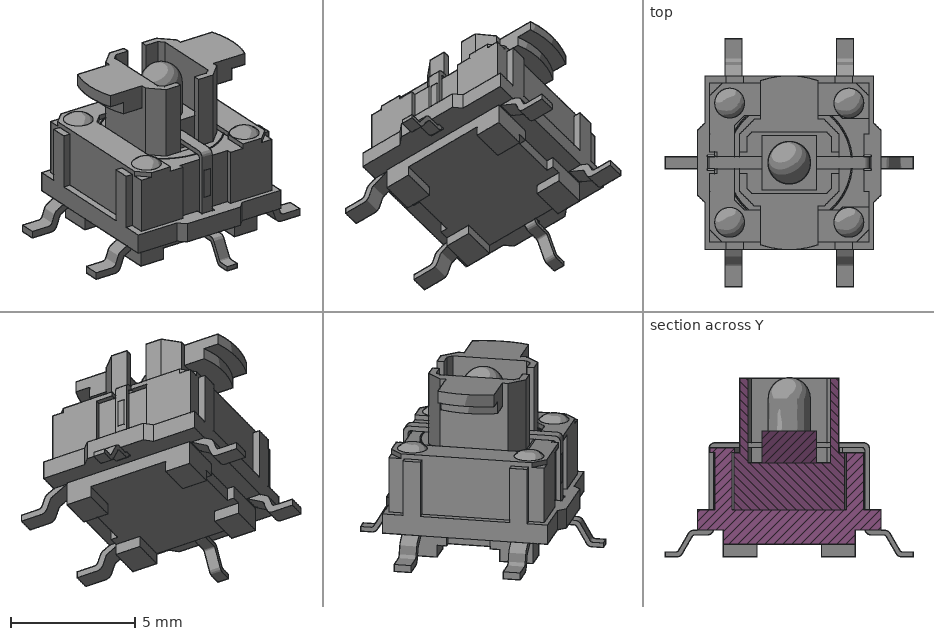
import cadquery as cq
import math

plate_bottom = 1.08
plate_top = 1.9
box_top = 4.2
lid_thickness = 0.2
lid_top = box_top + lid_thickness
plunger_top = 7.2
overall_height = 7.22

span = 10.0
plate_length_x = 6.8
plate_length_y = 7.0
ear_reach = 0.3
ear_half_width = 1.3
box_side = 6.4
lid_corner_chamfer = 0.5
side_recess_depth = 0.2
side_recess_width = 2.32
recess_wall = box_side / 2 - side_recess_depth

rib_width = 0.72
rib_spacing = 4.39
rivet_spacing = 4.8
rivet_radius = 0.6
rivet_flat_radius = 0.2
rivet_height = 0.2

bore_diameter = 5.1
opening_half_width = 1.9
opening_left = -2.2
opening_chamfer = 0.4
window_step_x = 2.03
window_step = 0.12
lid_notch_width = 0.88
lid_notch_depth = 0.29

base_length_x = 5.32
base_length_y = 5.7
base_clearance = 0.5
base_channel_x = 2.58
base_channel_y = 3.48
base_recess_width = 1.8
base_recess_depth = 0.3

terminal_width = 0.7
terminal_thickness = 0.3
terminal_spacing = 4.49
terminal_inner_radius = 0.17
terminal_outer_radius = 0.3
terminal_foot_bend_y = 3.98
terminal_knee_z = 0.75
terminal_lower_angle = math.radians(70)
terminal_upper_angle = math.radians(30)
terminal_root_z = 1.4

strap_width = 0.5
strap_thickness = 0.2
strap_inner_radius = 0.12
strap_outer_radius = 0.26
strap_outer_x = 3.24
strap_top = lid_top + strap_thickness
strap_foot_bend_x = 4.435
strap_leg_angle = math.radians(60)
strap_slot_width = 0.62
strap_slot_depth = 0.3
nub_width = 0.3
nub_bottom = 2.57
nub_top = 3.78

led_block_side = 2.2
led_block_top = 5.07
dome_radius = 0.85
dome_base_radius = 0.86
dome_center_z = overall_height - dome_radius

plunger_disc_diameter = 5.0
cap_length_x = 4.0
cap_length_y = 3.5
cap_chamfer = 0.6
cavity_floor = 3.8
cavity_length_x = 3.42
cavity_length_y = 2.46
cavity_chamfer = 0.2
fork_slot_width = 0.88
wing_width = 2.32
wing_thickness = 0.5
upper_wing_radius = 3.5
lower_wing_radius = 2.9


def block(x_min, x_max, y_min, y_max, z_min, z_max):
    """Axis-aligned block between the given limits."""
    return (
        cq.Workplane("XY")
        .box(x_max - x_min, y_max - y_min, z_max - z_min, centered=False)
        .translate((x_min, y_min, z_min))
    )


def centered_block(length_x, length_y, z_min, z_max):
    """Block centred on the Z axis."""
    return block(-length_x / 2, length_x / 2, -length_y / 2, length_y / 2, z_min, z_max)


def strip_side(path, offset, inner_radius, outer_radius):
    """One side of a bent strip: start, bends as (tangent in, arc middle, tangent out), end."""
    corners = [cq.Vector(*point) for point in path]
    directions = [(b - a).normalized() for a, b in zip(corners, corners[1:])]
    normals = [cq.Vector(-d.y, d.x) for d in directions]
    start = corners[0] + normals[0] * offset
    end = corners[-1] + normals[-1] * offset
    bends = []
    for i in range(1, len(path) - 1):
        before = directions[i - 1]
        after = directions[i]
        turn = math.atan2(before.cross(after).z, before.dot(after))
        radius = inner_radius if turn * offset > 0 else outer_radius
        half_turn = abs(turn) / 2
        tangent_length = radius * math.tan(half_turn)
        mitre = (normals[i - 1] + normals[i]).normalized() / math.cos(half_turn)
        side_corner = corners[i] + mitre * offset
        arc_depth = radius / math.cos(half_turn) - radius
        arc_middle = side_corner + (after - before).normalized() * arc_depth
        tangent_in = side_corner - before * tangent_length
        tangent_out = side_corner + after * tangent_length
        bends.append((tangent_in, arc_middle, tangent_out))
    return start, bends, end


def bent_strip(plane, path, thickness, width, inner_radius, outer_radius):
    """Sheet strip along a middle line, with round bends, extruded symmetrically about the plane."""
    outline = None
    for side_path in (path, path[::-1]):
        start, bends, end = strip_side(side_path, thickness / 2, inner_radius, outer_radius)
        if outline is None:
            outline = cq.Workplane(plane).moveTo(start.x, start.y)
        else:
            outline = outline.lineTo(start.x, start.y)
        for tangent_in, middle, tangent_out in bends:
            outline = outline.lineTo(tangent_in.x, tangent_in.y)
            outline = outline.threePointArc((middle.x, middle.y), (tangent_out.x, tangent_out.y))
        outline = outline.lineTo(end.x, end.y)
    return outline.close().extrude(width / 2, both=True)


def make_plate():
    """Base plate with a tapered ear on each X side."""
    ear_tip = plate_length_x / 2 + ear_reach
    ear_root_half_width = ear_half_width + ear_reach
    plate = centered_block(plate_length_x, plate_length_y, plate_bottom, plate_top)
    ears = (
        cq.Workplane("XY", origin=(0, 0, plate_bottom))
        .rect(2 * ear_tip, 2 * ear_root_half_width)
        .extrude(plate_top - plate_bottom)
        .edges("|Z")
        .chamfer(ear_reach)
    )
    return plate.union(ears)


def make_base():
    """Standing block under the plate: four feet with crossing channels between them."""
    base = centered_block(base_length_x, base_length_y, 0, plate_bottom)
    base = base.cut(centered_block(base_channel_x, base_length_y, 0, base_clearance))
    base = base.cut(centered_block(base_length_x, base_channel_y, 0, base_clearance))
    recess_bottom_y = base_length_y / 2 - base_recess_depth
    for side in (-1, 1):
        y_limits = sorted((side * recess_bottom_y, side * base_length_y / 2))
        half_width = base_recess_width / 2
        base = base.cut(block(-half_width, half_width, *y_limits, 0, plate_bottom))
    return base


def make_box():
    """Square box with ribs on the Y sides and shallow recesses on the X sides."""
    box = centered_block(box_side, box_side, plate_top, box_top)
    for side in (-1, 1):
        x_limits = sorted((side * recess_wall, side * box_side / 2))
        half_width = side_recess_width / 2
        box = box.cut(block(*x_limits, -half_width, half_width, plate_top, box_top))
    for x in (-rib_spacing / 2, rib_spacing / 2):
        rib = centered_block(rib_width, plate_length_y, plate_top, box_top)
        box = box.union(rib.translate((x, 0, 0)))
    bore = cq.Workplane("XY", origin=(0, 0, plate_top)).circle(bore_diameter / 2)
    return box.cut(bore.extrude(box_top - plate_top))


def make_lid():
    """Thin lid with a window over the plunger that runs out through the +X side."""
    lid = centered_block(box_side, box_side, box_top, lid_top)
    lid = lid.edges("|Z").chamfer(lid_corner_chamfer)
    half_window = [
        (opening_left, opening_half_width - opening_chamfer),
        (opening_left + opening_chamfer, opening_half_width),
        (window_step_x, opening_half_width),
        (window_step_x + window_step, opening_half_width - window_step),
        (box_side / 2, opening_half_width - window_step),
    ]
    other_half = [(x, -y) for x, y in reversed(half_window)]
    window = (
        cq.Workplane("XY", origin=(0, 0, box_top))
        .polyline(half_window + other_half)
        .close()
        .extrude(lid_thickness)
    )
    half_notch = lid_notch_width / 2
    notch_end = -box_side / 2 + lid_notch_depth
    notch = block(-box_side / 2, notch_end, -half_notch, half_notch, box_top, lid_top)
    return lid.cut(window).cut(notch)


def make_rivets():
    """Four low round heads with a flat top; the flank is an arc tangent to the flat."""
    run = rivet_radius - rivet_flat_radius
    arc_radius = (run**2 + rivet_height**2) / (2 * rivet_height)
    mid_angle = math.asin(run / arc_radius) / 2
    arc_middle = (
        rivet_flat_radius + arc_radius * math.sin(mid_angle),
        rivet_height - arc_radius * (1 - math.cos(mid_angle)),
    )
    head = (
        cq.Workplane("XZ")
        .lineTo(0, rivet_height)
        .lineTo(rivet_flat_radius, rivet_height)
        .threePointArc(arc_middle, (rivet_radius, 0))
        .close()
        .revolve(360, (0, 0), (0, 1))
    )
    offset = rivet_spacing / 2
    return [head.translate((x, y, lid_top)) for x in (-offset, offset) for y in (-offset, offset)]


def make_terminals():
    """Four gull-wing terminals rooted in the plate, two on each Y side."""
    foot_z = terminal_thickness / 2
    knee_y = terminal_foot_bend_y - (terminal_knee_z - foot_z) / math.tan(terminal_lower_angle)
    root_y = knee_y - (terminal_root_z - terminal_knee_z) / math.tan(terminal_upper_angle)
    path = [
        (span / 2, foot_z),
        (terminal_foot_bend_y, foot_z),
        (knee_y, terminal_knee_z),
        (root_y, terminal_root_z),
    ]
    terminal = bent_strip(
        "YZ", path, terminal_thickness, terminal_width, terminal_inner_radius, terminal_outer_radius
    )
    pair = [terminal.translate((side * terminal_spacing / 2, 0, 0)) for side in (-1, 1)]
    return pair + [terminal.mirror("XZ") for terminal in pair]


def make_housing():
    """Plate, base, box, lid, rivets, terminals and strap nubs in one solid."""
    housing = make_plate().union(make_base()).union(make_box()).union(make_lid())
    for part in make_rivets() + make_terminals():
        housing = housing.union(part)
    for side in (-1, 1):
        slot_x = sorted((side * recess_wall, side * (recess_wall + strap_slot_depth)))
        half_slot = strap_slot_width / 2
        housing = housing.cut(block(*slot_x, -half_slot, half_slot, plate_bottom, plate_top))
        nub_x = sorted((side * recess_wall, side * strap_outer_x))
        housing = housing.union(block(*nub_x, -nub_width / 2, nub_width / 2, nub_bottom, nub_top))
    return housing.cut(make_strap())


def make_wing(radius, z_min):
    """Pair of wings on the Y sides, with ends on a circle about the Z axis."""
    disc = cq.Workplane("XY", origin=(0, 0, z_min)).circle(radius).extrude(wing_thickness)
    return disc.intersect(centered_block(wing_width, 2 * radius, z_min, z_min + wing_thickness))


def make_plunger():
    """Disc captured under the lid, carrying a forked octagonal cap with two stepped wings."""
    disc = (
        cq.Workplane("XY", origin=(0, 0, plate_top))
        .circle(plunger_disc_diameter / 2)
        .extrude(box_top - plate_top)
    )
    cap = centered_block(cap_length_x, cap_length_y, box_top, plunger_top)
    cap = cap.edges("|Z").chamfer(cap_chamfer)
    cap = cap.union(make_wing(upper_wing_radius, plunger_top - wing_thickness))
    cap = cap.union(make_wing(lower_wing_radius, plunger_top - 2 * wing_thickness))
    cavity = centered_block(cavity_length_x, cavity_length_y, cavity_floor, plunger_top)
    cavity = cavity.edges("|Z").chamfer(cavity_chamfer)
    fork_slot = centered_block(cap_length_x, fork_slot_width, cavity_floor, plunger_top)
    return disc.union(cap).cut(cavity).cut(fork_slot)


def make_strap():
    """Lead strap over the housing, down through the plate slots and out to a foot on each X side."""
    foot_z = strap_thickness / 2
    shelf_z = plate_bottom - strap_thickness / 2
    shelf_x = strap_foot_bend_x - (shelf_z - foot_z) / math.tan(strap_leg_angle)
    wall_x = strap_outer_x - strap_thickness / 2
    half_path = [
        (span / 2, foot_z),
        (strap_foot_bend_x, foot_z),
        (shelf_x, shelf_z),
        (wall_x, shelf_z),
        (wall_x, strap_top - strap_thickness / 2),
    ]
    path = half_path + [(-x, z) for x, z in reversed(half_path)]
    strap = bent_strip(
        "XZ", path, strap_thickness, strap_width, strap_inner_radius, strap_outer_radius
    )
    nub_windows = centered_block(2 * strap_outer_x, nub_width, nub_bottom, nub_top)
    return strap.cut(nub_windows)


def make_led():
    """Square LED block with a slightly tapered round lens, fused to its lead strap."""
    led_block = centered_block(led_block_side, led_block_side, cavity_floor, led_block_top)
    dome_middle = dome_radius * math.sqrt(0.5)
    lens = (
        cq.Workplane("XZ")
        .moveTo(0, led_block_top)
        .lineTo(dome_base_radius, led_block_top)
        .lineTo(dome_radius, dome_center_z)
        .threePointArc((dome_middle, dome_center_z + dome_middle), (0, overall_height))
        .close()
        .revolve(360, (0, 0), (0, 1))
    )
    return make_strap().union(led_block).union(lens)


housing = make_housing()
plunger = make_plunger()
led = make_led()

result = cq.Compound.makeCompound([housing.val(), plunger.val(), led.val()])